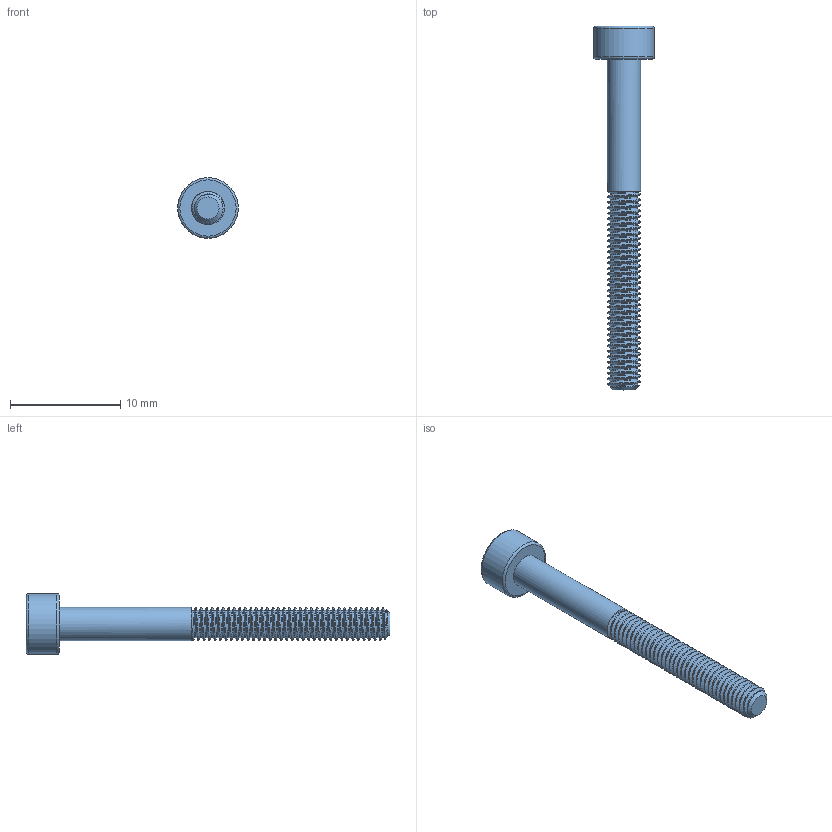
import cadquery as cq
import math

head_diameter = 5.5
head_height = 3.0
head_edge_fillet = 0.2
nominal_diameter = 3.0
screw_length = 30.0
thread_length = 18.0
pitch = 0.5
tip_chamfer = 0.5

flank_half_angle = 30.0
crest_flat = pitch / 8
root_flat = pitch / 4
thread_depth = (pitch - crest_flat - root_flat) / 2 / math.tan(math.radians(flank_half_angle))

nominal_radius = nominal_diameter / 2
root_radius = nominal_radius - thread_depth
shank_length = screw_length - thread_length


def cylinder_along_y(diameter, y_start, y_end):
    """Cylinder on the screw axis between two Y positions."""
    return (
        cq.Workplane("XZ", origin=(0, y_end, 0))
        .circle(diameter / 2)
        .extrude(y_end - y_start)
    )


def make_head():
    """Plain cylindrical head, rounded at both rims."""
    head = cylinder_along_y(head_diameter, 0, head_height)
    return head.edges("%CIRCLE").fillet(head_edge_fillet)


def helix_turn(radius, height):
    """One right-handed turn about Z, starting at +X at the given height."""
    return cq.Wire.makeHelix(pitch, pitch, radius, center=cq.Vector(0, 0, height))


def make_thread_surface():
    """Open helical skin of the thread that runs past both ends of the threaded length."""
    extra_turns = 2
    turns = round(thread_length / pitch) + 2 * extra_turns
    profile = [
        (root_radius, -root_flat / 2),
        (root_radius, root_flat / 2),
        (nominal_radius, (pitch - crest_flat) / 2),
        (nominal_radius, (pitch + crest_flat) / 2),
        (root_radius, pitch - root_flat / 2),
    ]
    strips = []
    for start, end in zip(profile, profile[1:]):
        strips.append(cq.Face.makeRuledSurface(helix_turn(*start), helix_turn(*end)))

    skin = []
    for turn in range(turns):
        for strip in strips:
            for face in strip.Faces():
                skin.append(face.translate(cq.Vector(0, 0, turn * pitch)))
    shell = cq.Shell.makeShell(skin)
    shell = shell.rotate(cq.Vector(0, 0, 0), cq.Vector(1, 0, 0), -90)
    return shell.translate(cq.Vector(0, -screw_length - extra_turns * pitch, 0))


def make_threaded_end():
    """Threaded length with a conical tip: the core of a blank parted by the thread surface."""
    clearance = 0.1
    blank = cylinder_along_y(nominal_diameter + 2 * clearance, -screw_length, -shank_length)
    blank = blank.faces("<Y").edges().chamfer(tip_chamfer + clearance)
    pieces = blank.val().split(make_thread_surface())
    axis_point = cq.Vector(0, -shank_length - thread_length / 2, 0)
    core = next(piece for piece in pieces.Solids() if piece.isInside(axis_point))
    return cq.Workplane(core)


shank = cylinder_along_y(nominal_diameter, -shank_length, 0)
result = make_head().union(shank).union(make_threaded_end())